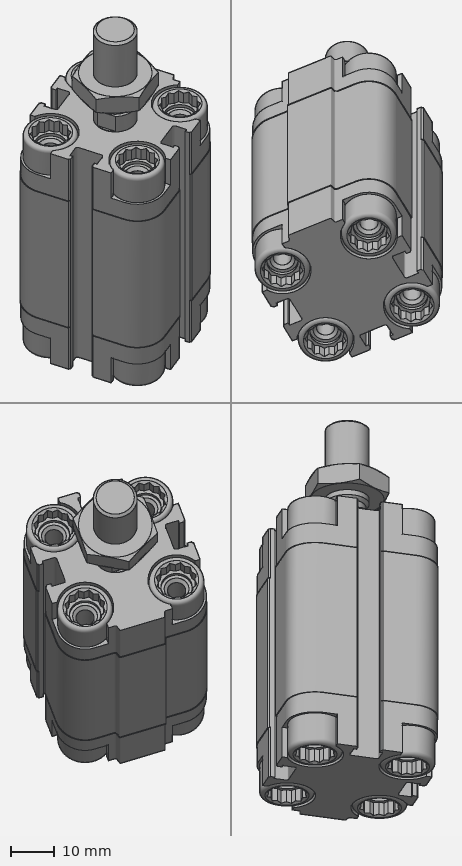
import cadquery as cq
import math

side = 36.0
corner_radius = 7.0
slot_mouth_width = 5.5
slot_inner_width = 6.9
slot_mouth_radius = 0.4
slot_floor_radius = 0.5
slot_lip = 1.6
slot_depth = 4.9
ridge_width = 12.0
ridge_height = 1.5
ridge_flank_angle = 15.0
ridge_root_fillet = 0.45
ridge_top_fillet = 0.3
ridge_edge_margin = 0.1

housing_height = 63.0
cap_height = 12.5
cap_inset = 0.2

screw_offset = side / 2 - corner_radius
pocket_depth = 7.5
pocket_diameter = 13.0
pocket_wall_offset = 7.7
head_diameter = 12.5
head_fillet = 1.1
socket_flats = 8.05
socket_points = 12
socket_depth = 3.5
socket_rim_diameter = 10.0
socket_rim_inner_diameter = 8.1
socket_rim_angle = 30.0
relief_diameter = 7.2
relief_depth = 0.8
countersink_diameter = 5.6
screw_bore_diameter = 4.1

overall_height = 89.5
rod_diameter = 10.0
rod_collar_height = 0.2
rod_flats = 8.95
rod_shoulder_z = 67.7
neck_diameter = 8.5
thread_start_z = 69.5
thread_start_chamfer_height = 0.8
tip_diameter = 8.7
tip_chamfer_height = 0.5

nut_flats = 17.0
nut_height = 4.9
nut_bottom_z = 71.6
nut_face_diameter = 16.7
nut_chamfer_angle = 20.0
hexagon_turn = 30.0


def housing_section(height, inset):
    """Profile of the housing, its outer faces shrunk by `inset`, extruded upward from Z = 0."""
    half_side = side / 2 - inset
    root_half = ridge_width / 2 + ridge_edge_margin
    ridge_roots = cq.selectors.BoxSelector(
        (-root_half, half_side - ridge_edge_margin, 0),
        (root_half, half_side + ridge_edge_margin, height),
    )
    return (
        cq.Workplane("XY").rect(2 * half_side, 2 * half_side).extrude(height)
        .edges("|Z").fillet(corner_radius - inset)
        .union(ridge(height, inset))
        .edges(ridge_roots).edges("|Z").fillet(ridge_root_fillet)
    )


def ridge(height, inset):
    """Bar along the +Y side with sloping flanks."""
    base_y = side / 2 - inset
    base_half = ridge_width / 2 - inset
    top_half = base_half - ridge_height * math.tan(math.radians(ridge_flank_angle))
    top_y = base_y + ridge_height
    return (
        cq.Workplane("XY")
        .polyline([
            (-base_half, 0), (base_half, 0), (base_half, base_y),
            (top_half, top_y), (-top_half, top_y), (-base_half, base_y),
        ])
        .close().extrude(height)
        .faces(">Y").edges("|Z").fillet(ridge_top_fillet)
    )


def t_slot(face_inset):
    """Cutter for the T-slot in the -Y side, with rounded floor corners and a flared mouth."""
    face_y = -(side / 2 - face_inset)
    lip_y = -(side / 2 - slot_lip)
    floor_y = -(side / 2 - slot_depth)
    mouth_half = slot_mouth_width / 2
    flare_half = mouth_half + slot_mouth_radius
    mouth = (
        cq.Workplane("XY")
        .moveTo(-flare_half, face_y)
        .radiusArc((-mouth_half, face_y + slot_mouth_radius), slot_mouth_radius)
        .lineTo(-mouth_half, lip_y)
        .lineTo(mouth_half, lip_y)
        .lineTo(mouth_half, face_y + slot_mouth_radius)
        .radiusArc((flare_half, face_y), slot_mouth_radius)
        .lineTo(flare_half, -side)
        .lineTo(-flare_half, -side)
        .close().extrude(housing_height)
    )
    channel = (
        cq.Workplane("XY").center(0, (lip_y + floor_y) / 2)
        .rect(slot_inner_width, floor_y - lip_y).extrude(housing_height)
        .edges("|Z and >Y").fillet(slot_floor_radius)
    )
    return mouth.union(channel)


def profile_length(height, inset):
    """Length of the complete housing profile, with the T-slots cut in the -X, -Y and +X sides."""
    length = housing_section(height, inset)
    for angle in (-90, 0, 90):
        length = length.cut(t_slot(inset).rotate((0, 0, 0), (0, 0, 1), angle))
    return length


def corner_pocket():
    """Cutter for the pocket around one screw head, open to the corner; its floor is at Z = 0."""
    round_part = cq.Workplane("XY").circle(pocket_diameter / 2).extrude(pocket_depth)
    wall = pocket_wall_offset - screw_offset
    open_part = (
        cq.Workplane("XY").rect(side, side).extrude(pocket_depth)
        .translate((wall + side / 2, wall + side / 2, 0))
    )
    return round_part.union(open_part)


def screw_head():
    """Round head with a twelve-point socket, standing on Z = 0."""
    head = (
        cq.Workplane("XY").circle(head_diameter / 2).extrude(pocket_depth)
        .faces(">Z").edges().fillet(head_fillet)
    )
    socket_floor = pocket_depth - socket_depth
    across_corners = socket_flats / math.cos(math.pi / 6)
    for angle in (0, 360 / socket_points):
        hexagon = (
            cq.Workplane("XY").workplane(offset=socket_floor)
            .polygon(6, across_corners).extrude(socket_depth)
            .rotate((0, 0, 0), (0, 0, 1), angle)
        )
        head = head.cut(hexagon)
    relief_floor = socket_floor - relief_depth
    rim_width = (socket_rim_diameter - socket_rim_inner_diameter) / 2
    rim_depth = rim_width * math.tan(math.radians(socket_rim_angle))
    countersink_depth = (countersink_diameter - screw_bore_diameter) / 2
    bore = (
        cq.Workplane("XZ")
        .polyline([
            (0, 0),
            (screw_bore_diameter / 2, 0),
            (screw_bore_diameter / 2, relief_floor - countersink_depth),
            (countersink_diameter / 2, relief_floor),
            (relief_diameter / 2, relief_floor),
            (relief_diameter / 2, pocket_depth - rim_depth),
            (socket_rim_inner_diameter / 2, pocket_depth - rim_depth),
            (socket_rim_diameter / 2, pocket_depth),
            (0, pocket_depth),
        ])
        .close().revolve(360, (0, 0, 0), (0, 1, 0))
    )
    return head.cut(bore)


def place_at_corners(shape):
    """Copies of a +X+Y corner shape (axis on Z) at all four corners and at both ends."""
    top = shape.translate((screw_offset, screw_offset, housing_height - pocket_depth))
    middle = (0, 0, housing_height / 2)
    copies = []
    for end in (top, top.mirror("XY", middle)):
        for corner in (end, end.mirror("XZ")):
            copies += [corner, corner.mirror("YZ")]
    return copies


def make_housing():
    """Housing with smaller end caps, through bores and a screw head in each corner pocket."""
    middle_height = housing_height - 2 * cap_height
    housing = profile_length(housing_height, cap_inset).union(
        profile_length(middle_height, 0).translate((0, 0, cap_height))
    )
    for pocket in place_at_corners(corner_pocket()):
        housing = housing.cut(pocket)
    bores = (
        cq.Workplane("XY").rect(2 * screw_offset, 2 * screw_offset, forConstruction=True)
        .vertices().circle(screw_bore_diameter / 2).extrude(housing_height)
    )
    housing = housing.cut(bores)
    for head in place_at_corners(screw_head()):
        housing = housing.union(head)
    return housing


def make_rod():
    """Stepped rod standing on the housing, with wrench flats below the neck and a threaded end."""
    radius = rod_diameter / 2
    neck_radius = neck_diameter / 2
    rod = (
        cq.Workplane("XZ")
        .polyline([
            (0, housing_height),
            (radius, housing_height),
            (radius, rod_shoulder_z),
            (neck_radius, rod_shoulder_z),
            (neck_radius, thread_start_z),
            (radius, thread_start_z + thread_start_chamfer_height),
            (radius, overall_height - tip_chamfer_height),
            (tip_diameter / 2, overall_height),
            (0, overall_height),
        ])
        .close().revolve(360, (0, 0, 0), (0, 1, 0))
    )
    flats_bottom = housing_height + rod_collar_height
    for direction in (-1, 1):
        flat_cut = (
            cq.Workplane("XY").workplane(offset=flats_bottom)
            .center(0, direction * (rod_flats + rod_diameter) / 2)
            .rect(rod_diameter, rod_diameter).extrude(rod_shoulder_z - flats_bottom)
        )
        rod = rod.cut(flat_cut)
    return rod


def make_nut():
    """Hexagon nut with corners on the Y axis, chamfered at both ends."""
    across_corners = nut_flats / math.cos(math.pi / 6)
    face_radius = nut_face_diameter / 2
    corner_drop = (across_corners / 2 - face_radius) * math.tan(math.radians(nut_chamfer_angle))
    hexagon = (
        cq.Workplane("XY").polygon(6, across_corners).extrude(nut_height)
        .rotate((0, 0, 0), (0, 0, 1), hexagon_turn)
    )
    chamfered_blank = (
        cq.Workplane("XZ")
        .polyline([
            (0, 0), (face_radius, 0), (across_corners / 2, corner_drop),
            (across_corners / 2, nut_height - corner_drop), (face_radius, nut_height), (0, nut_height),
        ])
        .close().revolve(360, (0, 0, 0), (0, 1, 0))
    )
    bore = cq.Workplane("XY").circle(rod_diameter / 2).extrude(nut_height)
    return hexagon.intersect(chamfered_blank).cut(bore).translate((0, 0, nut_bottom_z))


housing = make_housing()
rod = make_rod()
nut = make_nut()
result = cq.Compound.makeCompound([housing.val(), rod.val(), nut.val()])